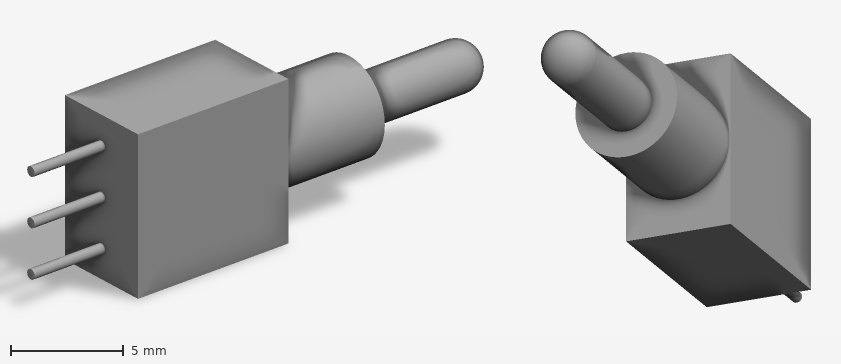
import cadquery as cq

total_length = 25.65
body_width = 5.08
body_height = 8.13

pin_length = 4.05
body_length = 8.65
bushing_length = 5.6
lever_length = total_length - pin_length - body_length - bushing_length

bushing_diameter = 4.95
lever_diameter = 2.55
pin_diameter = 0.51
pin_pitch = 2.55
pin_count = 3

body_end = body_length
bushing_end = body_end + bushing_length
lever_end = bushing_end + lever_length


def rod(diameter, start, end, z=0):
    """Solid cylinder along +Y between two Y positions."""
    return cq.Workplane(
        cq.Solid.makeCylinder(
            diameter / 2, end - start, cq.Vector(0, start, z), cq.Vector(0, 1, 0)
        )
    )


def rounded_lever():
    """Lever rod with a hemispherical tip."""
    radius = lever_diameter / 2
    tip_center = lever_end - radius
    tip = cq.Workplane("XY").sphere(radius).translate((0, tip_center, 0))
    return rod(lever_diameter, bushing_end, tip_center).union(tip)


body = cq.Workplane("XY").box(
    body_width, body_length, body_height, centered=(True, False, True)
)
bushing = rod(bushing_diameter, body_end, bushing_end)

result = body.union(bushing).union(rounded_lever())

for index in range(pin_count):
    pin_z = (index - (pin_count - 1) / 2) * pin_pitch
    result = result.union(rod(pin_diameter, -pin_length, 0, pin_z))